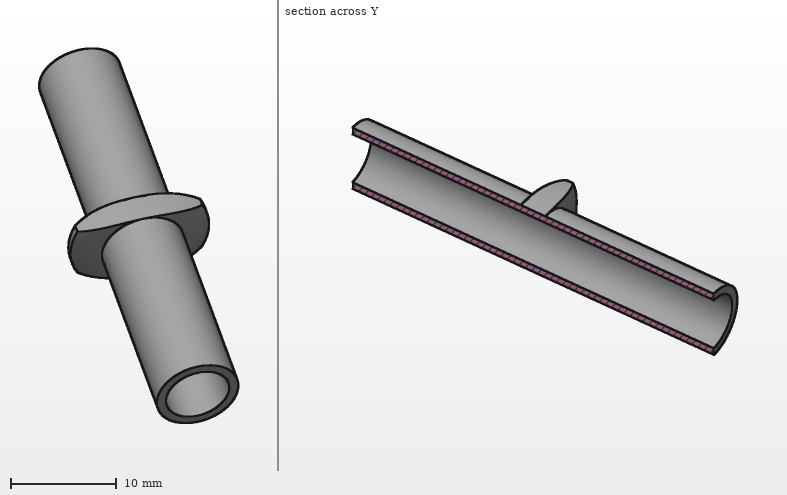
import cadquery as cq

tube_length = 41.0
tube_radius = 4.0
bore_radius = 3.1

collar_radius = 6.8
collar_root_width = 2.8
collar_rim_width = 0.8
collar_face_radius = 5.0
collar_top_arc_radius = 18.5


def cylinder_along_x(radius, length):
    return cq.Workplane("YZ").circle(radius).extrude(length / 2, both=True)


def bulged_disc():
    """Disc about X whose faces curve outward from the tube to the narrow rim."""
    half_root = collar_root_width / 2
    half_rim = collar_rim_width / 2

    profile = (
        cq.Workplane("XY")
        .moveTo(-half_root, 0)
        .lineTo(-half_root, tube_radius)
        .radiusArc((-half_rim, collar_radius), collar_face_radius)
        .lineTo(half_rim, collar_radius)
        .radiusArc((half_root, tube_radius), collar_face_radius)
        .lineTo(half_root, 0)
        .close()
    )
    return profile.revolve(360, (0, 0, 0), (1, 0, 0))


def collar():
    """Bulged disc trimmed by two large cylinders tangent to the tube's top and bottom."""
    disc = bulged_disc()
    arc_centre_offset = collar_top_arc_radius - tube_radius
    for side in (1, -1):
        trim = cylinder_along_x(collar_top_arc_radius, collar_root_width)
        disc = disc.intersect(trim.translate((0, 0, side * arc_centre_offset)))
    return disc


tube = cylinder_along_x(tube_radius, tube_length)
bore = cylinder_along_x(bore_radius, tube_length)

result = tube.union(collar()).cut(bore)